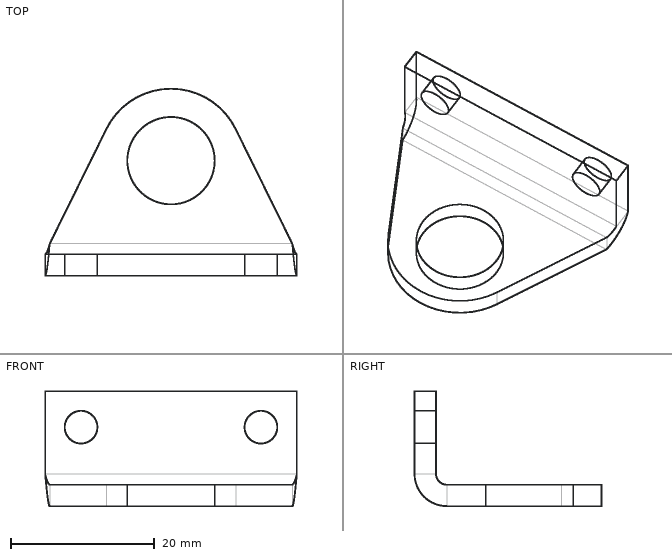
import cadquery as cq
import math

width = 35.0
height = 16.0
thickness = 3.0
inner_bend_radius = 1.5
outer_bend_radius = inner_bend_radius + thickness

eye_end_radius = 10.0
eye_center_y = 16.0
eye_hole_diameter = 12.1
bend_taper = 0.65
plate_half_width = width / 2 - bend_taper

mount_hole_diameter = 4.5
mount_hole_spacing = 25.0
mount_hole_z = height - 5.0


def make_mounting_leg():
    leg = cq.Workplane("XY").box(
        width, thickness, height - outer_bend_radius, centered=(True, False, False)
    ).translate((0, 0, outer_bend_radius))
    hole_cutter = (
        cq.Workplane("XZ")
        .pushPoints([(side * mount_hole_spacing / 2, mount_hole_z) for side in (-1, 1)])
        .circle(mount_hole_diameter / 2)
        .extrude(-thickness)
    )
    return leg.cut(hole_cutter)


def make_eye_plate():
    rise = eye_center_y - outer_bend_radius
    corner_distance = math.hypot(plate_half_width, rise)
    corner_angle = math.atan2(-rise, plate_half_width)
    tangent_angle = corner_angle + math.acos(eye_end_radius / corner_distance)
    tangent_x = eye_end_radius * math.cos(tangent_angle)
    tangent_y = eye_center_y + eye_end_radius * math.sin(tangent_angle)
    return (
        cq.Workplane("XY")
        .moveTo(-plate_half_width, outer_bend_radius)
        .lineTo(plate_half_width, outer_bend_radius)
        .lineTo(tangent_x, tangent_y)
        .threePointArc((0, eye_center_y + eye_end_radius), (-tangent_x, tangent_y))
        .close()
        .moveTo(0, eye_center_y)
        .circle(eye_hole_diameter / 2)
        .extrude(thickness)
    )


def bend_section(start_x):
    diagonal = math.sqrt(0.5)
    outer_mid = outer_bend_radius * (1 - diagonal)
    inner_mid = outer_bend_radius - inner_bend_radius * diagonal
    return (
        cq.Workplane("YZ", origin=(start_x, 0, 0))
        .moveTo(0, outer_bend_radius)
        .threePointArc((outer_mid, outer_mid), (outer_bend_radius, 0))
        .lineTo(outer_bend_radius, thickness)
        .threePointArc((inner_mid, inner_mid), (thickness, outer_bend_radius))
        .close()
    )


def make_bend():
    core = bend_section(-plate_half_width).extrude(2 * plate_half_width)
    quadrant_size = 2 * outer_bend_radius
    twisted_quadrant = (
        cq.Workplane("YZ", origin=(plate_half_width, outer_bend_radius, outer_bend_radius))
        .rect(-quadrant_size, -quadrant_size, centered=False)
        .twistExtrude(bend_taper, -90)
    )
    right_end = bend_section(plate_half_width).extrude(bend_taper).intersect(twisted_quadrant)
    return core.union(right_end).union(right_end.mirror("YZ"))


result = make_mounting_leg().union(make_bend()).union(make_eye_plate()).clean()